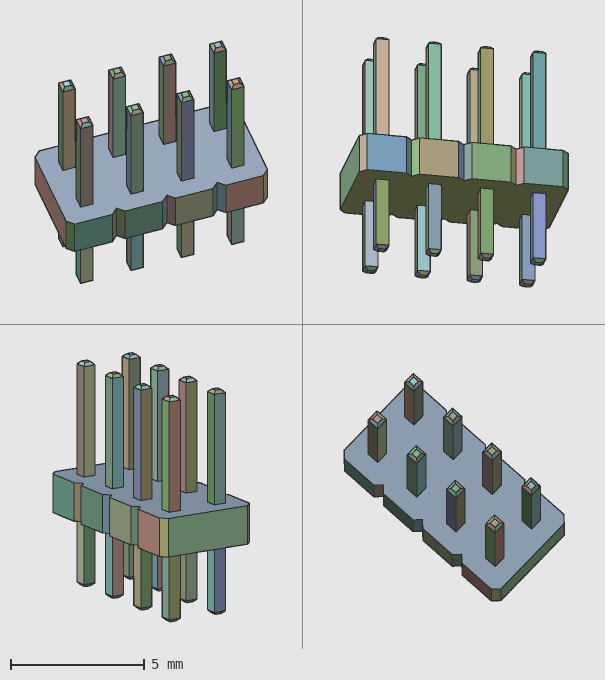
import cadquery as cq

pitch = 2.0
rows = 2
pins_per_row = 4
total_height = 8.7
body_height = 1.5
tail_length = 2.8
corner_cut = 0.25
pin_width = 0.5
tip_chamfer = 0.12

body_width = rows * pitch
body_length = pins_per_row * pitch


def make_body():
    """Block of square cells whose long sides are notched between neighbours."""
    half_width = body_width / 2
    half_length = body_length / 2
    right_side = []
    for cell in range(pins_per_row):
        start = cell * pitch - half_length
        end = start + pitch
        right_side += [
            (half_width - corner_cut, start),
            (half_width, start + corner_cut),
            (half_width, end - corner_cut),
        ]
    right_side.append((half_width - corner_cut, half_length))
    left_side = [(-x, y) for x, y in reversed(right_side)]
    outline = cq.Workplane("XY").workplane(offset=tail_length)
    return outline.polyline(right_side + left_side).close().extrude(body_height)


def make_pin():
    """Square pin on the Z axis, standing on Z = 0, with both tips tapered."""
    pin = cq.Workplane("XY").box(pin_width, pin_width, total_height, centered=(True, True, False))
    return pin.faces("<Z or >Z").chamfer(tip_chamfer)


result = make_body()
pin = make_pin()
for row in range(rows):
    for place in range(pins_per_row):
        x = (row - (rows - 1) / 2) * pitch
        y = (place - (pins_per_row - 1) / 2) * pitch
        result = result.union(pin.translate((x, y, 0)))